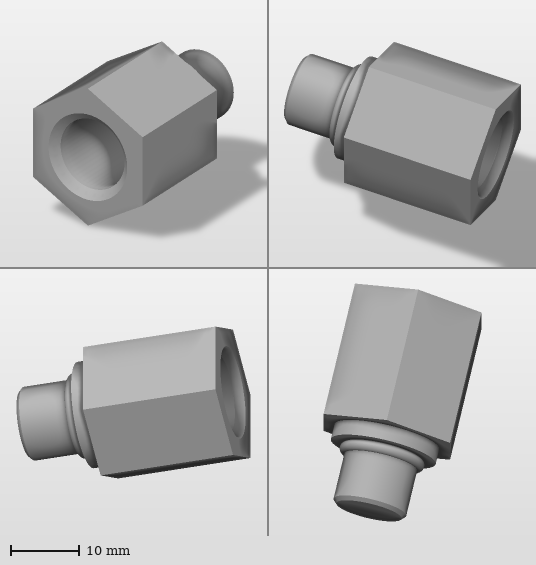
import cadquery as cq
import math

total_length = 31.57
hex_length = 20.15
collar_length = 2.27
ring_thickness = 1.6
stem_chamfer = 0.57
collar_end = hex_length + collar_length

hex_across_flats = 19.05
hex_across_corners = hex_across_flats / math.cos(math.pi / 6)
collar_diameter = 15.8
ring_outer_diameter = 12.72
stem_diameter = 10.95

bore_diameter = 11.15
bore_mouth_diameter = 13.7
bore_depth = 15.15
bore_chamfer = (bore_mouth_diameter - bore_diameter) / 2


def section_at(y):
    """Workplane across the Y axis at the given distance from the socket face."""
    return cq.Workplane("XZ", origin=(0, y, 0))


def cylinder(start, end, diameter):
    """Cylinder on the Y axis between two positions."""
    return section_at(start).circle(diameter / 2).extrude(start - end)


def hex_body():
    """Hexagonal prism with corners pointing up and down."""
    return section_at(0).transformed(rotate=(0, 0, 90)).polygon(6, hex_across_corners).extrude(-hex_length)


def stem():
    """Cylindrical spigot with a chamfered tip."""
    return cylinder(hex_length, total_length, stem_diameter).faces(">Y").chamfer(stem_chamfer)


def sealing_ring():
    """O-ring seated around the stem against the collar."""
    section_radius = ring_thickness / 2
    centre_radius = ring_outer_diameter / 2 - section_radius
    ring_section = cq.Workplane("XY").center(centre_radius, collar_end + section_radius).circle(section_radius)
    return ring_section.revolve(360, (-centre_radius, 0), (-centre_radius, 1))


def socket():
    """Flat-bottomed bore with a conical mouth."""
    profile = (
        cq.Workplane("XY")
        .lineTo(bore_mouth_diameter / 2, 0)
        .lineTo(bore_diameter / 2, bore_chamfer)
        .lineTo(bore_diameter / 2, bore_depth)
        .lineTo(0, bore_depth)
        .close()
    )
    return profile.revolve(360, (0, 0), (0, 1))


collar = cylinder(hex_length, collar_end, collar_diameter)
result = hex_body().union(collar).union(stem()).union(sealing_ring()).cut(socket())